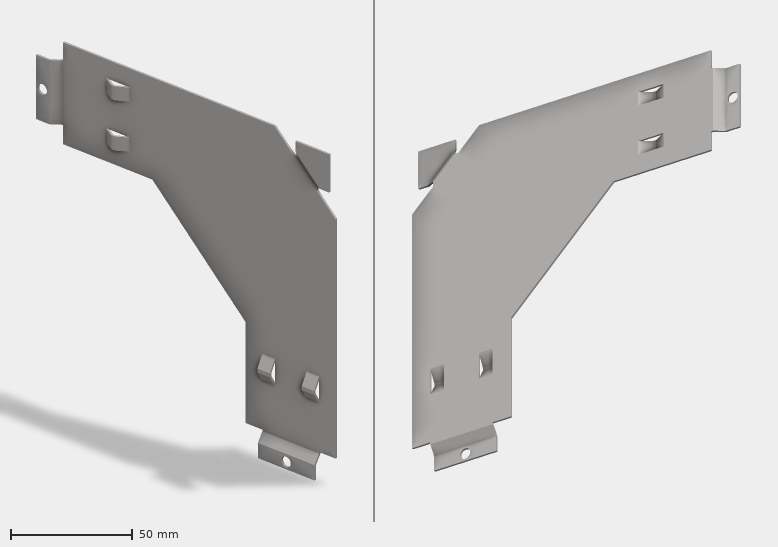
import cadquery as cq
import math

SIZE = 157.3
SHEET = 1.0

PLATE_MARGIN = 12.1
ARM_WIDTH = 48.0
INNER_CORNER = 59.6
CHAMFER = 32.5

STEP_DEPTH = 3.0
STEP_RUN = 4.2
FOLD_OVERLAP = 1.5

TAB_BEND = 11.5
TAB_WIDTH = 30.2
TAB_CENTER = 133.4
TAB_HOLE_DIAMETER = 4.9
TAB_HOLE_INSET = 3.5

CLIP_CENTER = 41.4
CLIP_LENGTH = 12.9
CLIP_CREST = 1.9
CLIP_WIDTH = 6.6
CLIP_DEPTH = 4.2

FLAP_OUTER = 156.2
FLAP_INNER = 138.3
FLAP_BEND = 200.5
NECK_SIDE = 147.2
NECK_RADIUS = 1.5

DIAGONAL_NORMAL = (1, 0, -1)


def mirrored_pair(body):
    """The body together with its image across the plane X = Z."""
    return body.union(body.mirror(DIAGONAL_NORMAL))


def bend_shift(rise, run):
    """Offset between the front and back corners of a bend of constant sheet thickness."""
    return SHEET * math.tan(math.atan2(rise, run) / 2)


def make_plate():
    arm_edge = SIZE - ARM_WIDTH
    chamfer_start = SIZE - CHAMFER
    outline = [
        (PLATE_MARGIN, SIZE),
        (chamfer_start, SIZE),
        (SIZE, chamfer_start),
        (SIZE, PLATE_MARGIN),
        (arm_edge, PLATE_MARGIN),
        (arm_edge, INNER_CORNER),
        (INNER_CORNER, arm_edge),
        (PLATE_MARGIN, arm_edge),
    ]
    return cq.Workplane("XZ").polyline(outline).close().extrude(SHEET)


def joggle(bend_origin, outward, length, width):
    """Sheet strip that steps forward by STEP_DEPTH, starting at its first front bend."""
    shift = bend_shift(STEP_DEPTH, STEP_RUN)
    profile = [
        (-FOLD_OVERLAP, 0),
        (shift, 0),
        (STEP_RUN + shift, -STEP_DEPTH),
        (length, -STEP_DEPTH),
        (length, -STEP_DEPTH - SHEET),
        (STEP_RUN, -STEP_DEPTH - SHEET),
        (0, -SHEET),
        (-FOLD_OVERLAP, -SHEET),
    ]
    across = cq.Vector(*outward).cross(cq.Vector(0, 1, 0))
    plane = cq.Plane(origin=bend_origin, xDir=outward, normal=across)
    return cq.Workplane(plane).polyline(profile).close().extrude(width / 2, both=True)


def make_tab():
    tab = joggle((TAB_BEND, 0, TAB_CENTER), (-1, 0, 0), TAB_BEND, TAB_WIDTH)
    hole = (
        cq.Workplane("XZ")
        .center(TAB_HOLE_INSET, TAB_CENTER)
        .circle(TAB_HOLE_DIAMETER / 2)
        .extrude(STEP_DEPTH + SHEET)
    )
    return tab.cut(hole)


def clip_prism(base_length, crest_length, base_y, crest_y, center_z):
    """Trapezoidal bump across an arm, one clip wide."""
    profile = [
        (CLIP_CENTER - base_length / 2, base_y),
        (CLIP_CENTER - crest_length / 2, crest_y),
        (CLIP_CENTER + crest_length / 2, crest_y),
        (CLIP_CENTER + base_length / 2, base_y),
    ]
    middle = cq.Workplane("XY", origin=(0, 0, center_z))
    return middle.polyline(profile).close().extrude(CLIP_WIDTH / 2, both=True)


def add_clips(body):
    shift = bend_shift(CLIP_DEPTH - SHEET, (CLIP_LENGTH - CLIP_CREST) / 2)
    hollow_length = CLIP_LENGTH - 2 * shift
    hollow_crest = CLIP_CREST - 2 * shift
    for side in (-1, 1):
        center_z = TAB_CENTER + side * (TAB_WIDTH - CLIP_WIDTH) / 2
        bump = clip_prism(CLIP_LENGTH, CLIP_CREST, -SHEET, -CLIP_DEPTH, center_z)
        hollow = clip_prism(hollow_length, hollow_crest, 0, SHEET - CLIP_DEPTH, center_z)
        body = body.union(mirrored_pair(bump)).cut(mirrored_pair(hollow))
    return body


def make_corner_flap():
    neck_inner = 2 * SIZE - CHAMFER - NECK_SIDE
    arc_start = FLAP_INNER - NECK_RADIUS
    arc_end = NECK_SIDE + NECK_RADIUS
    outline = (
        cq.Workplane("XZ")
        .moveTo(neck_inner, neck_inner)
        .lineTo(neck_inner, NECK_SIDE)
        .lineTo(arc_start, NECK_SIDE)
        .radiusArc((FLAP_INNER, arc_end), -NECK_RADIUS)
        .lineTo(FLAP_INNER, FLAP_OUTER)
        .lineTo(FLAP_OUTER, FLAP_OUTER)
        .lineTo(FLAP_OUTER, FLAP_INNER)
        .lineTo(arc_end, FLAP_INNER)
        .radiusArc((NECK_SIDE, arc_start), -NECK_RADIUS)
        .lineTo(NECK_SIDE, neck_inner)
        .close()
        .extrude(STEP_DEPTH + SHEET)
    )
    bend = FLAP_BEND / math.sqrt(2)
    blank_length = math.sqrt(2) * FLAP_OUTER - FLAP_BEND
    blank_width = math.sqrt(2) * (FLAP_OUTER - FLAP_INNER)
    blank = joggle((bend, 0, bend), (1, 0, 1), blank_length, blank_width)
    return blank.intersect(outline)


body = make_plate().union(mirrored_pair(make_tab())).union(make_corner_flap())
result = add_clips(body)